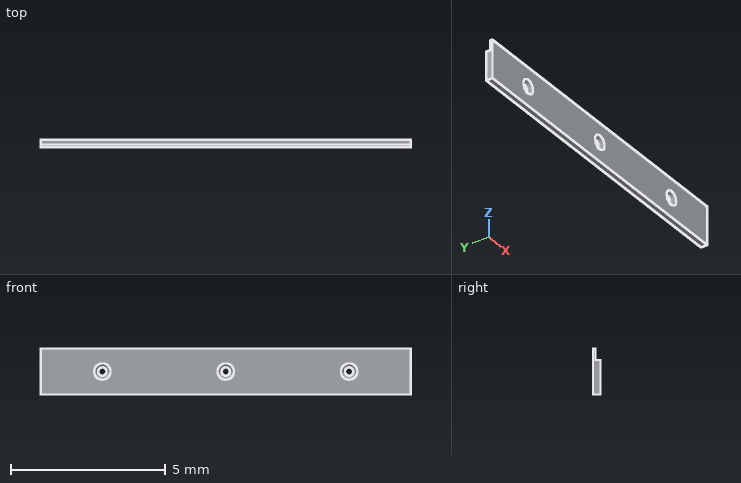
import cadquery as cq

LENGTH = 12.0
THICKNESS = 0.25
HEIGHT = 1.5

LIP_THICKNESS = 0.09
LIP_HEIGHT = 0.375

HOLE_COUNT = 3
HOLE_PITCH = LENGTH / HOLE_COUNT
HOLE_DIAMETER = 0.266
COUNTERSINK_DIAMETER = 2 * HOLE_DIAMETER
COUNTERSINK_DEPTH = 0.15

FRONT_Y = -THICKNESS / 2
BACK_Y = THICKNESS / 2
BOTTOM_Z = -HEIGHT / 2
TOP_Z = HEIGHT / 2


def make_strip():
    """Extrude the stepped cross-section along X, centred on the origin."""
    lip_back_y = FRONT_Y + LIP_THICKNESS
    step_z = TOP_Z - LIP_HEIGHT
    profile = [
        (FRONT_Y, BOTTOM_Z),
        (BACK_Y, BOTTOM_Z),
        (BACK_Y, step_z),
        (lip_back_y, step_z),
        (lip_back_y, TOP_Z),
        (FRONT_Y, TOP_Z),
    ]
    return cq.Workplane("YZ").polyline(profile).close().extrude(LENGTH / 2, both=True)


def make_hole_cutter(x):
    """Countersunk hole running along +Y from the front face at mid-height."""
    hole_radius = HOLE_DIAMETER / 2
    sink_radius = COUNTERSINK_DIAMETER / 2
    half_section = [
        (0, FRONT_Y),
        (sink_radius, FRONT_Y),
        (hole_radius, FRONT_Y + COUNTERSINK_DEPTH),
        (hole_radius, BACK_Y),
        (0, BACK_Y),
    ]
    cutter = cq.Workplane("XY").polyline(half_section).close().revolve(360, (0, 0, 0), (0, 1, 0))
    return cutter.translate((x, 0, 0))


result = make_strip()
for index in range(HOLE_COUNT):
    hole_x = (index - (HOLE_COUNT - 1) / 2) * HOLE_PITCH
    result = result.cut(make_hole_cutter(hole_x))